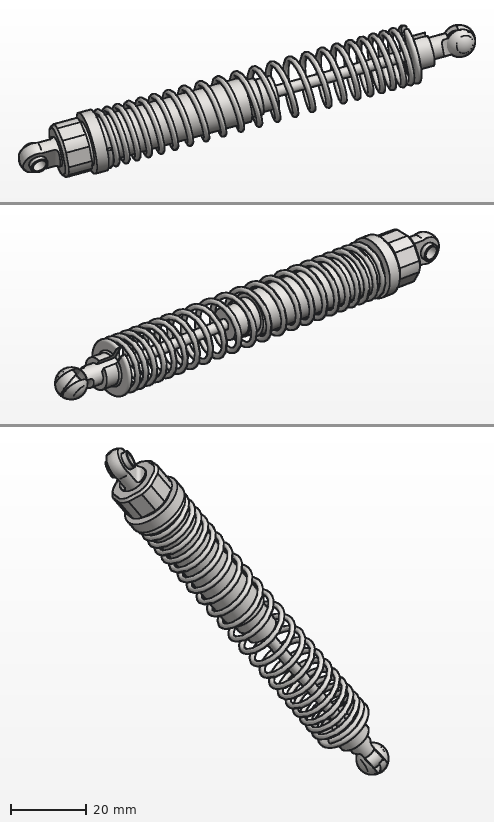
import cadquery as cq
import math


total_length = 128.3
eye_radius = 4.4
eye_half_width = 1.86
flat_depth = 5.1
cap_eye_y = eye_radius
rod_eye_y = total_length - eye_radius
rod_roll = 31.0

bushing_radius = 2.5
bushing_bore_radius = 1.9
bushing_length = 6.4
bushing_placements = [
    (cap_eye_y, 4.0, 4.0),
    (rod_eye_y, rod_roll, 12.0),
]

cap_stem_radius = 4.1
cap_stem_fillet = 1.0
cap_flat_end_y = 10.1
cap_bottom_y = 10.6
cap_top_y = 18.0
cap_half_across_flats = 7.12
cap_corner_radius = 7.5
cap_chamfer = 0.8

barrel_radius = 6.1
barrel_top_y = 63.5
shoulder_radius = 5.0
shoulder_top_y = 67.2
nose_radius = 4.5
nose_top_y = 71.7
collar_radius = 8.5
collar_bottom_y = 19.0
collar_top_y = 22.3

rod_radius = 1.5
rod_bottom_y = barrel_top_y
rod_stem_radius = 3.02
rod_flat_start_y = 118.5
rod_flat_fillet = 1.2

retainer_boss_radius = 4.6
retainer_boss_top_y = 115.5
retainer_flange_radius = 8.1
retainer_flange_thickness = 1.5
retainer_flange_top_y = 110.9
retainer_flange_bottom_y = retainer_flange_top_y - retainer_flange_thickness
retainer_root_chamfer = 0.5
retainer_slot_width = 2.5

wire_radius = 0.8
coil_radius = retainer_flange_radius - wire_radius
coil_turns = 22.4
coil_mid_angle = 132.5
coil_mid_y = 65.7
coil_mean_pitch = 4.0
pitch_swing = 1.2
pitch_wave_turns = 21.1
closing_turns = 1.2
seat_gap = 0.06
coil_bottom_y = collar_top_y + seat_gap + wire_radius
coil_top_y = retainer_flange_bottom_y - seat_gap - wire_radius
points_per_turn = 16


def cylinder(radius, start_y, end_y):
    """A solid cylinder on the Y axis."""
    return cq.Workplane("XZ", origin=(0, start_y, 0)).circle(radius).extrude(start_y - end_y)


def side_cutters(start_y, end_y, fillet, rounded_end):
    """Two blocks that leave a blade between them, each rounded where its flat runs out."""
    block = (
        cq.Workplane("XY")
        .box(flat_depth, end_y - start_y, 4 * eye_radius)
        .translate((eye_half_width + flat_depth / 2, (start_y + end_y) / 2, 0))
        .edges(f"<X and {rounded_end}Y")
        .fillet(fillet)
    )
    return block.union(block.mirror("YZ"))


def bushing_blank(eye_y, roll, yaw):
    """The solid outer shape of a bushing, in place."""
    return place_bushing(bushing_cylinder(bushing_radius), eye_y, roll, yaw)


def bushing_cylinder(radius):
    return cq.Workplane("YZ").circle(radius).extrude(bushing_length / 2, both=True)


def place_bushing(shape, eye_y, roll, yaw):
    """Tilts a bushing shape from the X axis and moves it to its eye."""
    return (
        shape.rotate((0, 0, 0), (0, 0, 1), yaw)
        .rotate((0, 0, 0), (0, 1, 0), -roll)
        .translate((0, eye_y, 0))
    )


def make_bushing(eye_y, roll, yaw):
    tube = bushing_cylinder(bushing_radius).cut(bushing_cylinder(bushing_bore_radius))
    return place_bushing(tube, eye_y, roll, yaw)


def make_cap():
    """Hexagonal cap with rounded corners and the eye below it."""
    height = cap_top_y - cap_bottom_y
    across_corners = 2 * cap_half_across_flats / math.cos(math.pi / 6)
    hexagon = cq.Workplane("XZ", origin=(0, cap_bottom_y, 0)).polygon(6, across_corners).extrude(-height)
    head = hexagon.intersect(cylinder(cap_corner_radius, cap_bottom_y, cap_top_y))
    head = head.faces("<Y").chamfer(cap_chamfer)

    eye = cq.Workplane("XY").sphere(eye_radius).translate((0, cap_eye_y, 0))
    eye = eye.union(cylinder(cap_stem_radius, cap_eye_y, cap_bottom_y))
    eye = eye.cut(side_cutters(-eye_radius, cap_flat_end_y, cap_stem_fillet, ">"))
    return head.union(eye).cut(bushing_blank(*bushing_placements[0]))


def make_housing():
    """Stepped barrel with its collar and cap, bored for the rod."""
    housing = (
        make_cap()
        .union(cylinder(collar_radius, collar_bottom_y, collar_top_y))
        .union(cylinder(barrel_radius, cap_top_y, barrel_top_y))
        .union(cylinder(shoulder_radius, barrel_top_y, shoulder_top_y))
        .union(cylinder(nose_radius, shoulder_top_y, nose_top_y))
    )
    return housing.cut(cylinder(rod_radius, rod_bottom_y, nose_top_y))


def make_rod():
    """Rod, thicker stem and eye."""
    eye = cq.Workplane("XY").sphere(eye_radius).translate((0, rod_eye_y, 0))
    eye = eye.union(cylinder(rod_stem_radius, retainer_flange_bottom_y, rod_eye_y))
    eye = eye.cut(side_cutters(rod_flat_start_y, total_length + eye_radius, rod_flat_fillet, "<"))
    eye = eye.rotate((0, 0, 0), (0, 1, 0), -rod_roll)
    rod = eye.union(cylinder(rod_radius, rod_bottom_y, retainer_flange_bottom_y))
    return rod.cut(bushing_blank(*bushing_placements[1]))


def make_retainer():
    """Flange with a full-round rim and a boss, slotted from one side to its bore."""
    rim_radius = retainer_flange_thickness / 2
    rim_start = retainer_flange_radius - rim_radius
    retainer = (
        cq.Workplane("XY")
        .moveTo(rod_stem_radius, retainer_flange_bottom_y)
        .lineTo(rim_start, retainer_flange_bottom_y)
        .threePointArc(
            (retainer_flange_radius, retainer_flange_bottom_y + rim_radius),
            (rim_start, retainer_flange_top_y),
        )
        .lineTo(retainer_boss_radius + retainer_root_chamfer, retainer_flange_top_y)
        .lineTo(retainer_boss_radius, retainer_flange_top_y + retainer_root_chamfer)
        .lineTo(retainer_boss_radius, retainer_boss_top_y)
        .lineTo(rod_stem_radius, retainer_boss_top_y)
        .close()
        .revolve(360, (0, 0, 0), (0, 1, 0))
    )
    slot = (
        cq.Workplane("XZ", origin=(0, retainer_flange_bottom_y, 0))
        .center(0, retainer_flange_radius / 2)
        .rect(retainer_slot_width, retainer_flange_radius)
        .extrude(retainer_flange_bottom_y - retainer_boss_top_y)
        .rotate((0, 0, 0), (0, 1, 0), -rod_roll)
    )
    return retainer.cut(slot)


def open_coil_y(turn):
    """Height along the shock of a coil without closed ends, by turns counted from mid-length."""
    wave = pitch_wave_turns / (2 * math.pi)
    return coil_mid_y + coil_mean_pitch * turn + pitch_swing * wave * math.sin(turn / wave)


def coil_point(turn):
    """Point on the wire's centre line, eased at both ends so that it stops at the seats."""
    angle = math.radians(coil_mid_angle) + 2 * math.pi * turn
    last_turn = math.copysign(coil_turns / 2, turn)
    seat_y = coil_top_y if turn > 0 else coil_bottom_y
    closing = max(0, abs(turn) - abs(last_turn) + closing_turns) / closing_turns
    y = open_coil_y(turn) + (seat_y - open_coil_y(last_turn)) * closing**2
    return (coil_radius * math.sin(angle), y, coil_radius * math.cos(angle))


def make_spring():
    """Round wire swept along the coil."""
    steps = round(coil_turns * points_per_turn)
    turns = [coil_turns * (step / steps - 0.5) for step in range(steps + 1)]
    points = [cq.Vector(*coil_point(turn)) for turn in turns]
    centre_line = cq.Edge.makeSpline(points)
    start = cq.Plane(origin=points[0], normal=centre_line.tangentAt(0))
    path = cq.Workplane("XY").newObject([cq.Wire.assembleEdges([centre_line])])
    return cq.Workplane(start).circle(wire_radius).sweep(path, isFrenet=True)


housing = make_housing()
rod = make_rod()
retainer = make_retainer()
spring = make_spring()
bushings = [make_bushing(*placement) for placement in bushing_placements]

result = cq.Compound.makeCompound(
    [housing.val(), rod.val(), retainer.val(), spring.val(), *[bushing.val() for bushing in bushings]]
)